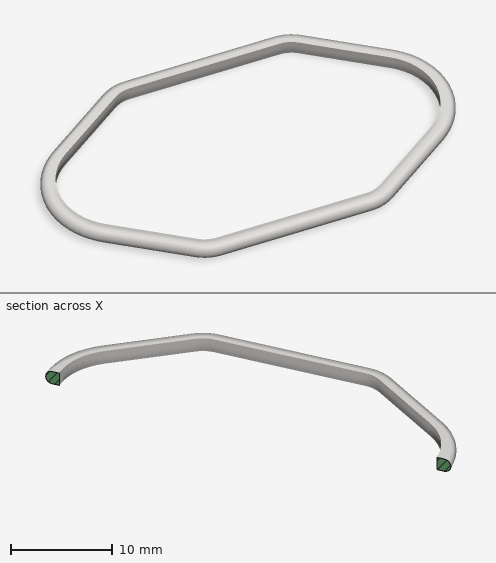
import cadquery as cq
import math

length = 43.05
width = 25.2
height = 1.5

end_radius = 7.88
corner_radius = 4.5
side_length = 16.0

round_radius = height / 2
band_width = height

end_y = length / 2 - end_radius
corner_x = width / 2 - corner_radius
corner_y = side_length / 2

center_distance = math.hypot(corner_x, end_y - corner_y)
center_angle = math.atan2(corner_y - end_y, corner_x)
slant_normal = center_angle + math.acos((end_radius - corner_radius) / center_distance)

path_inset = round_radius


def corner_point(angle):
    """Path point on the +X +Y corner arc at an angle from +X."""
    radius = corner_radius - path_inset
    return corner_x + radius * math.cos(angle), corner_y + radius * math.sin(angle)


def end_point(angle):
    """Path point on the +Y end arc at an angle from +X."""
    radius = end_radius - path_inset
    return radius * math.cos(angle), end_y + radius * math.sin(angle)


def mirrored(point, x_sign, y_sign):
    return x_sign * point[0], y_sign * point[1]


def ring_path():
    """Closed smooth path, counterclockwise from the middle of the +X side."""
    corner_start = corner_point(0)
    corner_mid = corner_point(slant_normal / 2)
    corner_finish = corner_point(slant_normal)
    end_start = end_point(slant_normal)
    end_mid = end_point(math.pi / 2)

    path = cq.Workplane("XY").moveTo(corner_start[0], 0)
    for sign in (1, -1):
        path = (
            path.lineTo(*mirrored(corner_start, sign, sign))
            .threePointArc(mirrored(corner_mid, sign, sign), mirrored(corner_finish, sign, sign))
            .lineTo(*mirrored(end_start, sign, sign))
            .threePointArc(mirrored(end_mid, sign, sign), mirrored(end_start, -sign, sign))
            .lineTo(*mirrored(corner_finish, -sign, sign))
            .threePointArc(mirrored(corner_mid, -sign, sign), mirrored(corner_start, -sign, sign))
            .lineTo(-sign * corner_start[0], 0)
        )
    return path.wire()


def ring_section():
    """D-shaped section across the +X side, in the XZ plane."""
    path_x = width / 2 - path_inset
    inner_x = width / 2 - band_width
    return (
        cq.Workplane("XZ")
        .moveTo(inner_x, -round_radius)
        .lineTo(path_x, -round_radius)
        .threePointArc((width / 2, 0), (path_x, round_radius))
        .lineTo(inner_x, round_radius)
        .close()
    )


result = ring_section().sweep(ring_path())